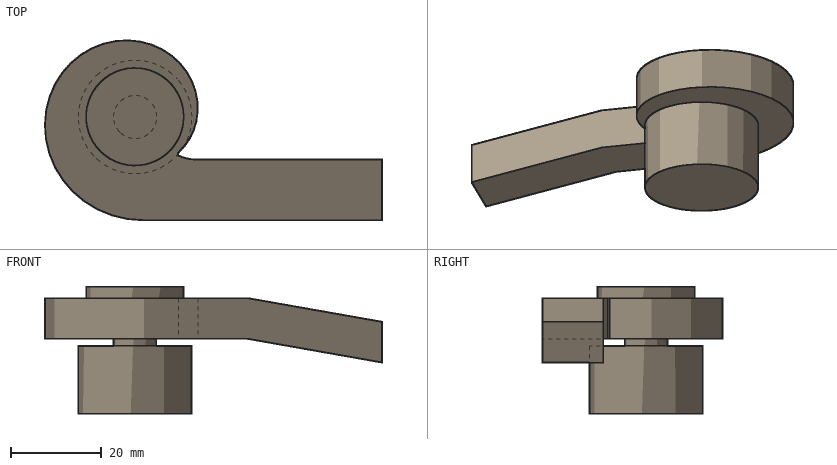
import cadquery as cq
import math

drum_diameter = 25.0
drum_height = 15.0
neck_diameter = 9.5
neck_height = 1.5
cap_diameter = 21.5
cap_height = 2.5

plate_thickness = 9.0
plate_bottom = drum_height + neck_height
plate_top = plate_bottom + plate_thickness

spiral_base_radius = 13.74
spiral_growth_per_turn = 12.0
facet_angle = 9.0
facet_count = 35
spiral_start_angle = -40.0

arm_width = 13.43
inner_bend_radius = 9.3
inner_bend_end_x = 13.5
arm_bend_x = 24.91
sloped_length = 30.0
slope_angle = 10.0


def spiral_point(angle):
    """Point of the spiral at the given angle."""
    radius = spiral_base_radius + spiral_growth_per_turn * angle / 360.0
    radians = math.radians(angle)
    return (radius * math.cos(radians), radius * math.sin(radians))


spiral_points = [spiral_point(spiral_start_angle + i * facet_angle) for i in range(facet_count + 1)]
arm_front_y = spiral_points[-1][1]
arm_back_y = arm_front_y + arm_width


def inner_bend_point(x):
    """Point on the arc that ends tangent to the arm's back edge."""
    offset = inner_bend_end_x - x
    rise = inner_bend_radius - math.sqrt(inner_bend_radius**2 - offset**2)
    return (x, arm_back_y + rise)


def make_plate():
    """Spiral head and level part of the arm."""
    bend_root_x = spiral_points[0][0]
    bend_middle_x = (bend_root_x + inner_bend_end_x) / 2
    return (
        cq.Workplane("XY", origin=(0, 0, plate_bottom))
        .polyline(spiral_points)
        .lineTo(arm_bend_x, arm_front_y)
        .lineTo(arm_bend_x, arm_back_y)
        .lineTo(inner_bend_end_x, arm_back_y)
        .threePointArc(inner_bend_point(bend_middle_x), inner_bend_point(bend_root_x))
        .close()
        .extrude(plate_thickness)
    )


def make_sloped_arm():
    """Descending end of the arm, with a vertical end face."""
    run = sloped_length * math.cos(math.radians(slope_angle))
    drop = sloped_length * math.sin(math.radians(slope_angle))
    tip_x = arm_bend_x + run
    return (
        cq.Workplane("XZ", origin=(0, arm_back_y, 0))
        .polyline([
            (arm_bend_x, plate_bottom),
            (tip_x, plate_bottom - drop),
            (tip_x, plate_top - drop),
            (arm_bend_x, plate_top),
        ])
        .close()
        .extrude(arm_width)
    )


def make_disc(diameter, height, bottom):
    """Solid cylinder on the Z axis."""
    return cq.Workplane("XY", origin=(0, 0, bottom)).circle(diameter / 2).extrude(height)


drum = make_disc(drum_diameter, drum_height, 0)
neck = make_disc(neck_diameter, neck_height, drum_height)
cap = make_disc(cap_diameter, cap_height, plate_top)

result = make_plate().union(make_sloped_arm()).union(neck).union(drum).union(cap)